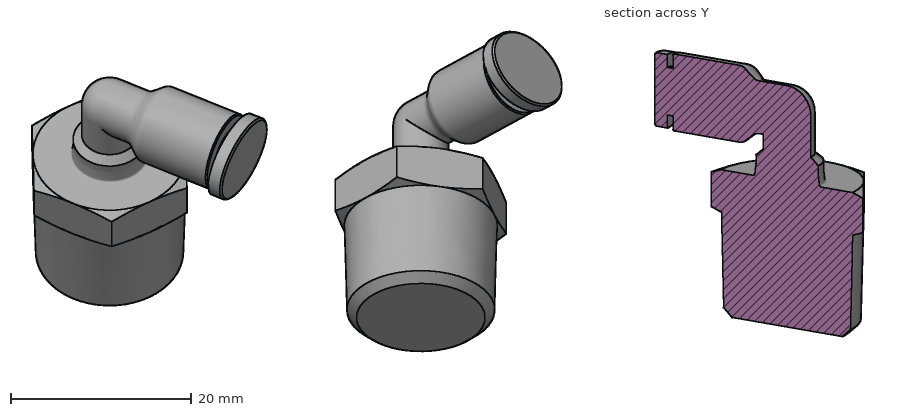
import cadquery as cq
import math

overall_length = 26.91

stem_height = 12.0
stem_top_radius = 8.5
stem_lower_radius = 8.22
stem_chamfer_width = 1.08
stem_chamfer_height = 1.0

hex_across_flats = 17.0
hex_height = 5.0
hex_chamfer_angle = 20.0
envelope_clearance = 1.0
hex_across_corners = hex_across_flats / math.cos(math.pi / 6)
hex_top = stem_height + hex_height

collar_radius = 4.05
collar_foot_radius = 4.22
collar_flare_height = 1.4
collar_shoulder_height = 2.4
collar_height = 3.25
collar_root_fillet = 0.25

elbow_radius = 3.1
outlet_height = 25.0

socket_radius = 4.5
socket_cone_start = 4.02
socket_cone_end = 5.77
socket_end = 14.75
socket_cone_fillet = 0.9
socket_end_chamfer = 0.15

ring_neck_radius = 2.8
flange_start = 15.45
flange_end = overall_length - hex_across_corners / 2
flange_width = 10.8
flange_height = 8.6
flange_chamfer = 0.2


def make_stem():
    profile = [
        (0, 0),
        (stem_lower_radius - stem_chamfer_width, 0),
        (stem_lower_radius, stem_chamfer_height),
        (stem_top_radius, stem_height),
        (0, stem_height),
    ]
    return cq.Workplane("XZ").polyline(profile).close().revolve(360, (0, 0), (0, 1))


def make_hexagon():
    """Hexagonal prism with both ends turned to a cone that cuts the corners."""
    prism = (
        cq.Workplane("XY")
        .workplane(offset=stem_height)
        .polygon(6, hex_across_corners)
        .extrude(hex_height)
    )
    face_radius = hex_across_flats / 2
    cone_radius = hex_across_corners / 2 + envelope_clearance
    cone_drop = (cone_radius - face_radius) * math.tan(math.radians(hex_chamfer_angle))
    envelope = [
        (0, stem_height),
        (face_radius, stem_height),
        (cone_radius, stem_height + cone_drop),
        (cone_radius, hex_top - cone_drop),
        (face_radius, hex_top),
        (0, hex_top),
    ]
    turned = cq.Workplane("XZ").polyline(envelope).close().revolve(360, (0, 0), (0, 1))
    return prism.intersect(turned)


def make_collar():
    """Flared collar with a concave fillet running out onto the hexagon face."""
    flare_angle = math.atan2(collar_foot_radius - collar_radius, collar_flare_height)
    root_tangent = collar_root_fillet * math.tan((math.pi / 2 - flare_angle) / 2)
    fillet_end = (
        collar_foot_radius - root_tangent * math.sin(flare_angle),
        hex_top + root_tangent * math.cos(flare_angle),
    )
    outline = (
        cq.Workplane("XZ")
        .moveTo(0, hex_top)
        .lineTo(collar_foot_radius + root_tangent, hex_top)
        .radiusArc(fillet_end, collar_root_fillet)
        .lineTo(collar_radius, hex_top + collar_flare_height)
        .lineTo(collar_radius, hex_top + collar_shoulder_height)
        .lineTo(elbow_radius, hex_top + collar_height)
        .lineTo(0, hex_top + collar_height)
        .close()
    )
    return outline.revolve(360, (0, 0), (0, 1))


def make_elbow():
    """Vertical leg with the ball that forms the outside of the bend."""
    leg_length = outlet_height - hex_top
    leg = cq.Workplane("XY").workplane(offset=hex_top).circle(elbow_radius).extrude(leg_length)
    corner = cq.Workplane("XY").sphere(elbow_radius).translate((0, 0, outlet_height))
    return leg.union(corner)


def make_socket():
    """Horizontal leg, cone, socket barrel and ring neck, turned about the outlet axis."""
    profile = [
        (0, 0),
        (0, elbow_radius),
        (socket_cone_start, elbow_radius),
        (socket_cone_end, socket_radius),
        (socket_end - socket_end_chamfer, socket_radius),
        (socket_end, socket_radius - socket_end_chamfer),
        (socket_end, ring_neck_radius),
        (flange_start, ring_neck_radius),
        (flange_start, 0),
    ]
    barrel = cq.Workplane("XZ").polyline(profile).close().revolve(360, (0, 0), (1, 0))
    selection_margin = 0.1
    around_cone = cq.selectors.BoxSelector(
        (socket_cone_start - selection_margin, -socket_radius, -socket_radius),
        (socket_cone_end + selection_margin, socket_radius, socket_radius),
    )
    rounded = barrel.edges("%CIRCLE").edges(around_cone).fillet(socket_cone_fillet)
    return rounded.translate((0, 0, outlet_height))


def make_flange():
    flange = (
        cq.Workplane("YZ", origin=(flange_start, 0, outlet_height))
        .ellipse(flange_width / 2, flange_height / 2)
        .extrude(flange_end - flange_start)
    )
    return flange.faces(">X").edges().chamfer(flange_chamfer)


result = (
    make_stem()
    .union(make_hexagon())
    .union(make_collar())
    .union(make_elbow())
    .union(make_socket())
    .union(make_flange())
)